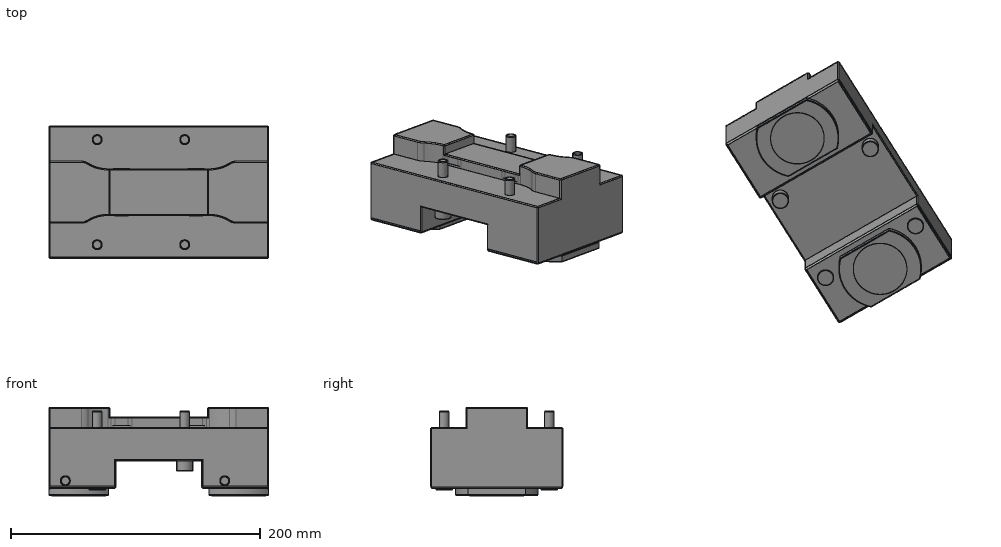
import cadquery as cq
import math

LENGTH = 176.0
WIDTH = 106.0
PAD_HEIGHT = 5.8
BODY_TOP = 54.7
RIB_TOP = 63.2
BLOCK_TOP = 71.0
EDGE_CHAMFER = 0.9
BOTTOM_CHAMFER = 1.4

TOLERANCE = 0.2

NOTCH_LENGTH = 68.8
NOTCH_CEILING = 28.2

BLOCK_HALF_WIDTH = 24.8
RIB_HALF_WIDTH = 18.7
BLOCK_INNER_X = 39.0
NECK_X = 40.7
CONVEX_RADIUS = 10.0
CONCAVE_RADIUS = 30.0

PANEL_CENTER_X = 30.0
PANEL_LENGTH = 10.2
PANEL_RAMP = 3.3
PANEL_HEIGHT = 0.26
PANEL_FOOT_HEIGHT = 0.07
PANEL_FOOT_TOP = 56.5

SCREW_X = (-49.3, 20.8)
SCREW_HEAD_BOTTOM_Z = (5.0, 20.0)
SCREW_Y = 42.0
SCREW_DIAMETER = 8.0
SCREW_TOP = 68.0
HEAD_DIAMETER = 13.0
HEAD_CHAMFER = 0.4
HEAD_HEIGHT = SCREW_DIAMETER
TIP_DIAMETER = 6.5
TIP_CHAMFER = (SCREW_DIAMETER - TIP_DIAMETER) / 2

FLUSH_SCREW_X = (-74.8, 52.8)
FLUSH_SCREW_Z = 12.1

PAD_DIAMETER = 66.2
PAD_LENGTH = 47.9
PAD_X = (LENGTH - PAD_LENGTH) / 2
PAD_RIM_CHAMFER = 0.5
PAD_FACE_DIAMETER = 43.0
PAD_FACE_HEIGHT = 0.5


def make_lower_body():
    """Bridge-shaped body on two legs, with the edges under the legs chamfered."""
    height = BODY_TOP - PAD_HEIGHT
    notch_height = NOTCH_CEILING - PAD_HEIGHT
    body = cq.Workplane("XY", origin=(0, 0, PAD_HEIGHT + height / 2)).box(LENGTH, WIDTH, height)
    notch = cq.Workplane("XY", origin=(0, 0, PAD_HEIGHT + notch_height / 2)).box(
        NOTCH_LENGTH, WIDTH, notch_height
    )
    return body.cut(notch).faces("<Z").edges().chamfer(BOTTOM_CHAMFER)


def make_block():
    """End block on the +X side; each flank is an S-curve of two tangent arcs down to the rib width."""
    drop = BLOCK_HALF_WIDTH - RIB_HALF_WIDTH
    turn = math.acos(1 - drop / (CONVEX_RADIUS + CONCAVE_RADIUS))
    shoulder_x = NECK_X + (CONVEX_RADIUS + CONCAVE_RADIUS) * math.sin(turn)

    def concave_point(angle):
        x = NECK_X + CONCAVE_RADIUS * math.sin(angle)
        y = RIB_HALF_WIDTH + CONCAVE_RADIUS * (1 - math.cos(angle))
        return x, y

    def convex_point(angle):
        x = shoulder_x - CONVEX_RADIUS * math.sin(angle)
        y = BLOCK_HALF_WIDTH - CONVEX_RADIUS * (1 - math.cos(angle))
        return x, y

    half = (
        cq.Workplane("XY", origin=(0, 0, NOTCH_CEILING))
        .moveTo(BLOCK_INNER_X, 0)
        .lineTo(BLOCK_INNER_X, RIB_HALF_WIDTH)
        .lineTo(NECK_X, RIB_HALF_WIDTH)
        .threePointArc(concave_point(turn / 2), concave_point(turn))
        .threePointArc(convex_point(turn / 2), convex_point(0))
        .lineTo(LENGTH / 2, BLOCK_HALF_WIDTH)
        .lineTo(LENGTH / 2, 0)
        .close()
        .extrude(BLOCK_TOP - NOTCH_CEILING)
    )
    return half.union(half.mirror("XZ"))


def make_housing():
    """Lower body with both end blocks, and its remaining outer edges chamfered."""
    block = make_block()
    housing = make_lower_body().union(block).union(block.mirror("YZ"))
    long_face_edges = housing.faces("<Y or >Y").edges()
    end_face_edges = housing.faces("<X or >X").edges("not(<Z)")
    block_top_edges = housing.faces(">Z").edges()
    inner_corner_edges = housing.edges(
        cq.selectors.BoxSelector(
            (-BLOCK_INNER_X - TOLERANCE, -WIDTH, BODY_TOP - TOLERANCE),
            (BLOCK_INNER_X + TOLERANCE, WIDTH, BLOCK_TOP - TOLERANCE),
        )
    ).edges("|Z")
    edges = long_face_edges.add(end_face_edges).add(block_top_edges).add(inner_corner_edges)
    return housing.newObject(edges.vals()).chamfer(EDGE_CHAMFER)


def make_rib():
    """Low rib between the blocks, its top long edges chamfered."""
    height = RIB_TOP - NOTCH_CEILING
    rib = cq.Workplane("XY", origin=(0, 0, NOTCH_CEILING + height / 2)).box(
        2 * NECK_X, 2 * RIB_HALF_WIDTH, height
    )
    return rib.faces(">Z").edges("|X").chamfer(EDGE_CHAMFER)


def make_panel():
    """Panel on the rib's +X, +Y flank: arc ends tangent to the flank, and a thinner foot strip."""
    ramp_radius = (PANEL_RAMP**2 + PANEL_HEIGHT**2) / (2 * PANEL_HEIGHT)
    mid_x = PANEL_RAMP / 2
    mid_rise = ramp_radius - math.sqrt(ramp_radius**2 - mid_x**2)
    half_flat = PANEL_LENGTH / 2
    half_length = half_flat + PANEL_RAMP
    top = RIB_TOP - EDGE_CHAMFER
    panel = (
        cq.Workplane("XY", origin=(PANEL_CENTER_X, RIB_HALF_WIDTH, BODY_TOP))
        .moveTo(-half_length, 0)
        .threePointArc((mid_x - half_length, mid_rise), (-half_flat, PANEL_HEIGHT))
        .lineTo(half_flat, PANEL_HEIGHT)
        .threePointArc((half_length - mid_x, mid_rise), (half_length, 0))
        .lineTo(half_length, -PANEL_HEIGHT)
        .lineTo(-half_length, -PANEL_HEIGHT)
        .close()
        .extrude(top - BODY_TOP)
    )
    foot_y = RIB_HALF_WIDTH + PANEL_FOOT_HEIGHT
    undercut = cq.Workplane("XY", origin=(PANEL_CENTER_X, foot_y, BODY_TOP)).box(
        2 * half_length, PANEL_HEIGHT, PANEL_FOOT_TOP - BODY_TOP, centered=(True, False, False)
    )
    return panel.cut(undercut)


def make_cap_screw(head_bottom):
    """Cap screw standing head-down on the Z axis, with a chamfered head and tip."""
    head = (
        cq.Workplane("XY", origin=(0, 0, head_bottom))
        .circle(HEAD_DIAMETER / 2)
        .extrude(HEAD_HEIGHT)
        .faces("<Z")
        .chamfer(HEAD_CHAMFER)
    )
    shank = (
        cq.Workplane("XY", origin=(0, 0, head_bottom))
        .circle(SCREW_DIAMETER / 2)
        .extrude(SCREW_TOP - head_bottom)
        .faces(">Z")
        .chamfer(TIP_CHAMFER)
    )
    return head.union(shank)


def make_flush_screw_groove(x):
    """Ring groove left between a chamfered screw end and its hole in the -Y face."""
    ring = (
        cq.Workplane("XY")
        .moveTo(TIP_DIAMETER / 2, -WIDTH / 2)
        .lineTo(SCREW_DIAMETER / 2, -WIDTH / 2)
        .lineTo(SCREW_DIAMETER / 2, -WIDTH / 2 + TIP_CHAMFER)
        .close()
        .revolve(360, (0, 0), (0, 1))
    )
    return ring.translate((x, 0, FLUSH_SCREW_Z))


def make_pad():
    """Foot pad: a disc with flats across X, a chamfered rim and a smaller raised face below."""
    disc = cq.Workplane("XY", origin=(0, 0, PAD_FACE_HEIGHT)).circle(PAD_DIAMETER / 2)
    disc = disc.extrude(PAD_HEIGHT - PAD_FACE_HEIGHT)
    flats = cq.Workplane("XY").box(PAD_LENGTH, PAD_DIAMETER, 2 * BODY_TOP)
    disc = disc.intersect(flats).faces("<Z").chamfer(PAD_RIM_CHAMFER)
    face = cq.Workplane("XY").circle(PAD_FACE_DIAMETER / 2).extrude(PAD_HEIGHT)
    return disc.union(face)


result = make_housing().union(make_rib())

panel = make_panel()
for one_side in (panel, panel.mirror("YZ")):
    result = result.union(one_side).union(one_side.mirror("XZ"))

for x, head_bottom in zip(SCREW_X, SCREW_HEAD_BOTTOM_Z):
    for y in (-SCREW_Y, SCREW_Y):
        result = result.union(make_cap_screw(head_bottom).translate((x, y, 0)))

for x in FLUSH_SCREW_X:
    result = result.cut(make_flush_screw_groove(x))

for x in (-PAD_X, PAD_X):
    result = result.union(make_pad().translate((x, 0, 0)))